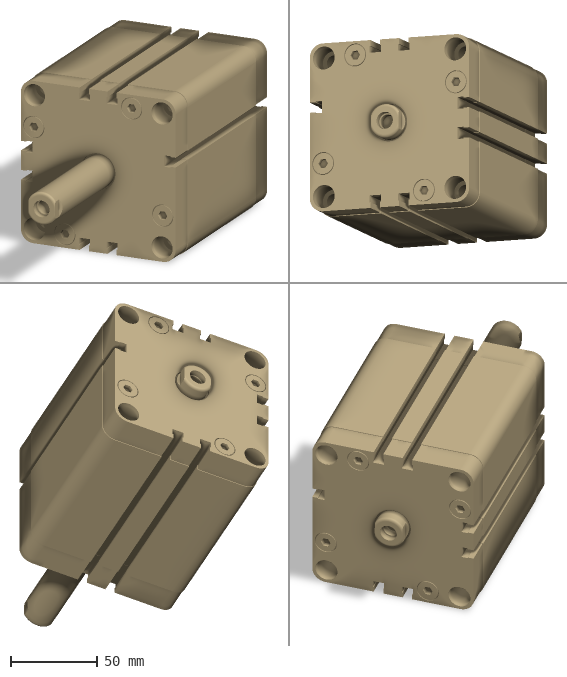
import cadquery as cq
import math

body_width = 100.0
body_length = 94.0
cap_length = 16.1
cap_inset = 0.5
corner_radius = 8.5
total_length = 212.0
rear_overhang = 7.8
housing_length = body_length + 2 * cap_length
front_overhang = total_length - housing_length - rear_overhang
middle_y = housing_length / 2

slot_spacing = 9.0
single_slot_offset = 12.0
mouth_width = 5.5
cap_mouth_width = 6.0
pocket_width = 7.0
slot_depth = 8.0
cap_slot_depth = 7.8
lip_depth = 3.8

mount_offset = 41.0
mount_diameter = 8.5
mount_bore_diameter = 13.5

screw_near = 21.5
screw_far = 41.3
screw_seat_diameter = 13.5
screw_head_diameter = 12.5
screw_gap_depth = 1.0
hex_flats = 5.0
hex_depth = 3.0

rod_diameter = 20.0
rod_edge_radius = 1.7
flat_width = 17.0
flat_length = 6.0
bore_diameter = 8.5
bore_mouth_diameter = 10.2
bore_mouth_depth = 4.0
bore_depth = 20.0
drill_tip_angle = 118
seal_diameter = 22.0
seal_depth = 1.0


def along_y(y):
    """Workplane facing +Y at position y, with local x = -X and local y = Z."""
    return cq.Workplane("XZ", origin=(0, y, 0)).transformed(rotate=(0, 180, 0))


def rounded_block(width, radius, start, length):
    return along_y(start).rect(width, width).extrude(length).edges("|Y").fillet(radius)


def slot(offset, turn, mouth, depth, start, length):
    """T-slot cut from the +Z side at x = offset, then turned about Y."""
    wall = body_width / 2
    lip = along_y(start).center(-offset, wall - lip_depth / 2).rect(mouth, lip_depth)
    pocket_depth = depth - lip_depth
    pocket_centre = wall - lip_depth - pocket_depth / 2
    pocket = along_y(start).center(-offset, pocket_centre).rect(pocket_width, pocket_depth)
    cutter = lip.extrude(length).union(pocket.extrude(length))
    return cutter.rotate((0, 0, 0), (0, 1, 0), turn)


def cut_slots(block, mouth, depth, start, length):
    paired = [(side * slot_spacing, turn) for turn in (0, 180, 270) for side in (-1, 1)]
    for offset, turn in paired + [(-single_slot_offset, 90)]:
        block = block.cut(slot(offset, turn, mouth, depth, start, length))
    return block


def corner_holes(diameter, start, length):
    square = along_y(start).rect(2 * mount_offset, 2 * mount_offset, forConstruction=True)
    return square.vertices().circle(diameter / 2).extrude(length)


def make_body():
    body = rounded_block(body_width, corner_radius, cap_length, body_length)
    body = cut_slots(body, mouth_width, slot_depth, cap_length, body_length)
    return body.cut(corner_holes(mount_diameter, cap_length, body_length))


def make_front_cap():
    cap = rounded_block(body_width - 2 * cap_inset, corner_radius - cap_inset, 0, cap_length)
    cap = cut_slots(cap, cap_mouth_width, cap_slot_depth, 0, cap_length)
    cap = cap.cut(corner_holes(mount_bore_diameter, 0, cap_length))

    screws = [
        (screw_near, screw_far),
        (-screw_far, screw_near),
        (-screw_near, -screw_far),
        (screw_far, -screw_near),
    ]
    face = along_y(0).pushPoints([(-x, z) for x, z in screws])
    gaps = face.circle(screw_seat_diameter / 2).circle(screw_head_diameter / 2).extrude(screw_gap_depth)
    hex_corners = hex_flats / math.cos(math.radians(30))
    sockets = face.polygon(6, hex_corners).extrude(hex_depth)
    cap = cap.cut(gaps).cut(sockets)

    return cap.cut(along_y(0).circle(seal_diameter / 2).extrude(seal_depth))


def rod_bore():
    """Drilled hole at the front end of the rod, with a wider mouth and a conical bottom."""
    bore_radius = bore_diameter / 2
    mouth_radius = bore_mouth_diameter / 2
    tip_length = bore_radius / math.tan(math.radians(drill_tip_angle / 2))
    profile = [
        (0, 0),
        (mouth_radius, 0),
        (mouth_radius, bore_mouth_depth),
        (bore_radius, bore_mouth_depth),
        (bore_radius, bore_depth),
        (0, bore_depth + tip_length),
    ]
    bore = cq.Workplane("XY").polyline(profile).close().revolve(360, (0, 0, 0), (0, 1, 0))
    return bore.translate((0, -front_overhang, 0))


def wrench_flat():
    """Flat on the +X side of the front rod end, running out at 45 degrees."""
    rod_radius = rod_diameter / 2
    half_flat = flat_width / 2
    runout = rod_radius - half_flat
    profile = [
        (half_flat, 0),
        (half_flat, flat_length),
        (rod_radius, flat_length + runout),
        (rod_radius, 0),
    ]
    flat = cq.Workplane("XY").polyline(profile).close().extrude(rod_radius, both=True)
    return flat.translate((0, -front_overhang, 0))


def cut_both_ends(rod, cutter, middle):
    rod = rod.cut(cutter)
    return rod.cut(cutter.mirror("XZ", (0, middle, 0)))


def make_rod():
    rod = along_y(-front_overhang).circle(rod_diameter / 2).extrude(total_length)
    rod = rod.faces("<Y or >Y").edges().fillet(rod_edge_radius)
    rod_middle = total_length / 2 - front_overhang
    for cutter in (wrench_flat(), wrench_flat().mirror("YZ"), rod_bore()):
        rod = cut_both_ends(rod, cutter, rod_middle)
    return rod


front_cap = make_front_cap()
rear_cap = front_cap.mirror("XZ", (0, middle_y, 0))
result = make_body().union(front_cap).union(rear_cap).union(make_rod())